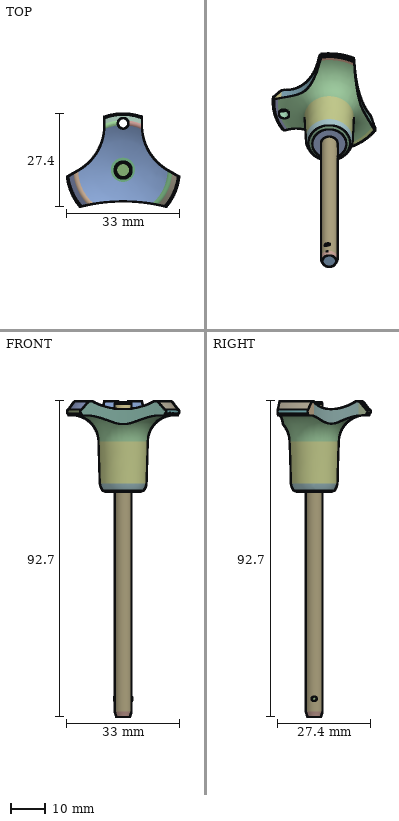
import cadquery as cq
import math


shank_radius = 2.5
shank_length = 66.0
tip_length = 1.6
tip_radius = 2.0

ball_height = -60.6
ball_mouth_radius = 0.65
ball_protrusion = 0.25

button_top = 26.4
button_chamfer_width = 0.4
button_chamfer_height = 0.6

collar_face_radius = 5.0
collar_bevel_radius = 6.1
collar_bevel_height = 0.5
collar_lower_radius = 6.9
collar_lower_height = 2.5
collar_upper_radius = 7.27
collar_upper_height = 14.8
collar_corner_bulge = 0.12

flare_radius = 7.7
rim_radius = 16.62
rim_mid_height = 23.55
rim_upper_radius = 16.2
rim_upper_height = 24.2
rim_lower_radius = 16.35
rim_lower_height = 23.1
rim_under_radius = 16.1
crest_outer_radius = 14.5
crest_inner_radius = 13.1
crest_height = 26.7
crest_drop = 0.3
bowl_floor_radius = 3.55
bowl_floor_height = 22.8
bowl_arc_radius = 22.0

back_lobe_half_width = 5.55
side_scallop_radius = 15.0
side_scallop_center_y = 13.0
side_lobe_edge_angle = 30.0
front_scallop_depth_y = -9.2
front_corner_x = 12.7
front_corner_y = -10.8

outline_reach = 20.0

lanyard_hole_diameter = 3.05
lanyard_hole_y = 13.7


def midpoint_on_arc(start, end, bulge):
    """Point beside the chord's middle, offset to the right of start -> end."""
    chord_x = end[0] - start[0]
    chord_y = end[1] - start[1]
    chord = math.hypot(chord_x, chord_y)
    return (
        (start[0] + end[0]) / 2 + bulge * chord_y / chord,
        (start[1] + end[1]) / 2 - bulge * chord_x / chord,
    )


def make_handle_body():
    """Collar, flare, rim and bowl as one turned body."""
    flare_end = (collar_upper_radius + flare_radius, collar_upper_height + flare_radius)
    flare_offset = flare_radius * math.sqrt(0.5)
    flare_middle = (flare_end[0] - flare_offset, collar_upper_height + flare_offset)

    bevel_edge = (collar_bevel_radius, collar_bevel_height)
    collar_edge = (collar_lower_radius, collar_lower_height)
    crest_outer = (crest_outer_radius, crest_height - crest_drop)
    crest_middle = ((crest_outer_radius + crest_inner_radius) / 2, crest_height)
    crest_inner = (crest_inner_radius, crest_height - crest_drop)
    bowl_floor = (bowl_floor_radius, bowl_floor_height)
    bowl_chord = math.dist(crest_inner, bowl_floor)
    bowl_sagitta = bowl_arc_radius - math.sqrt(bowl_arc_radius**2 - (bowl_chord / 2) ** 2)

    profile = (
        cq.Workplane("XZ")
        .moveTo(0, 0)
        .lineTo(collar_face_radius, 0)
        .lineTo(*bevel_edge)
        .threePointArc(midpoint_on_arc(bevel_edge, collar_edge, collar_corner_bulge), collar_edge)
        .lineTo(collar_upper_radius, collar_upper_height)
        .threePointArc(flare_middle, flare_end)
        .lineTo(rim_under_radius, flare_end[1])
        .lineTo(rim_lower_radius, rim_lower_height)
        .threePointArc((rim_radius, rim_mid_height), (rim_upper_radius, rim_upper_height))
        .lineTo(*crest_outer)
        .threePointArc(crest_middle, crest_inner)
        .threePointArc(midpoint_on_arc(crest_inner, bowl_floor, -bowl_sagitta), bowl_floor)
        .lineTo(0, bowl_floor_height)
        .close()
    )
    return profile.revolve(360, (0, 0, 0), (0, 1, 0))


def make_lobe_outline():
    """Vertical prism that trims the round rim to a back lobe and two side lobes."""
    scallop_center_x = back_lobe_half_width + side_scallop_radius

    def scallop_point(angle):
        """Point on the right-hand scallop, turned by angle from its innermost point."""
        turn = math.radians(angle)
        return (
            scallop_center_x - side_scallop_radius * math.cos(turn),
            side_scallop_center_y - side_scallop_radius * math.sin(turn),
        )

    def mirrored(point):
        return (-point[0], point[1])

    scallop_turn = 90 - side_lobe_edge_angle
    scallop_middle = scallop_point(scallop_turn / 2)
    scallop_end = scallop_point(scallop_turn)
    edge_drop = (outline_reach - scallop_end[0]) * math.tan(math.radians(side_lobe_edge_angle))
    lobe_edge_end = (outline_reach, scallop_end[1] - edge_drop)
    back_start = (back_lobe_half_width, side_scallop_center_y)
    back_end = (back_lobe_half_width, outline_reach)

    front_sagitta = front_scallop_depth_y - front_corner_y
    front_radius = (front_corner_x**2 + front_sagitta**2) / (2 * front_sagitta)
    front_center_y = front_scallop_depth_y - front_radius
    front_end = (outline_reach, front_center_y + math.sqrt(front_radius**2 - outline_reach**2))

    return (
        cq.Workplane("XY")
        .moveTo(*back_end)
        .lineTo(*back_start)
        .threePointArc(scallop_middle, scallop_end)
        .lineTo(*lobe_edge_end)
        .lineTo(*front_end)
        .threePointArc((0, front_scallop_depth_y), mirrored(front_end))
        .lineTo(*mirrored(lobe_edge_end))
        .lineTo(*mirrored(scallop_end))
        .threePointArc(mirrored(scallop_middle), mirrored(back_start))
        .lineTo(*mirrored(back_end))
        .close()
        .extrude(crest_height)
    )


def make_lanyard_hole():
    return (
        cq.Workplane("XY")
        .center(0, lanyard_hole_y)
        .circle(lanyard_hole_diameter / 2)
        .extrude(crest_height)
    )


def make_spindle():
    """Shank with a tapered tip, running up through the handle to the release button."""
    return (
        cq.Workplane("XZ")
        .moveTo(0, -shank_length)
        .lineTo(tip_radius, -shank_length)
        .lineTo(shank_radius, tip_length - shank_length)
        .lineTo(shank_radius, button_top - button_chamfer_height)
        .lineTo(shank_radius - button_chamfer_width, button_top)
        .lineTo(0, button_top)
        .close()
        .revolve(360, (0, 0, 0), (0, 1, 0))
    )


def make_locking_ball(side):
    """Ball whose cap stands out of the shank on the +X (side = 1) or -X (side = -1) face."""
    ball_radius = (ball_mouth_radius**2 + ball_protrusion**2) / (2 * ball_protrusion)
    center_x = side * (shank_radius + ball_protrusion - ball_radius)
    return cq.Workplane("XY").sphere(ball_radius).translate((center_x, 0, ball_height))


handle = make_handle_body().intersect(make_lobe_outline()).cut(make_lanyard_hole())
result = handle.union(make_spindle())
for ball_side in (-1, 1):
    result = result.union(make_locking_ball(ball_side))